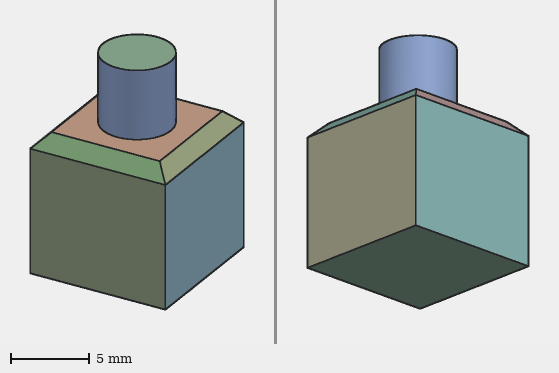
import cadquery as cq

total_height = 15.0
block_side = 10.0
block_height = block_side
pin_diameter = 5.0
chamfer_size = 1.0

pin_height = total_height - block_height

block = (
    cq.Workplane("XY")
    .box(block_side, block_side, block_height, centered=(True, True, False))
    .faces(">Z")
    .chamfer(chamfer_size)
)

result = block.faces(">Z").workplane().circle(pin_diameter / 2).extrude(pin_height)